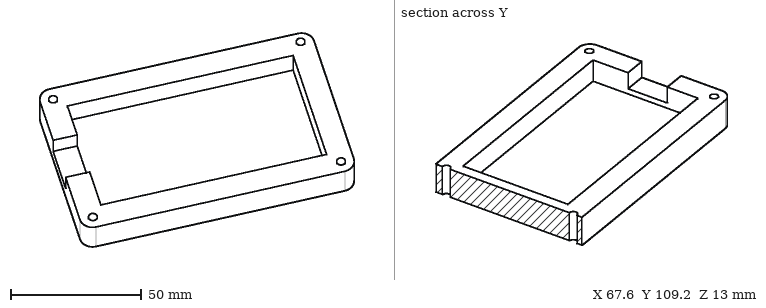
import cadquery as cq

width = 67.6
length = 109.2
height = 13.0
corner_radius = 5.0

pocket_width = 48.5
pocket_length = 90.0
pocket_floor = 3.3

notch_width = 18.1
notch_depth = 7.3
notch_center_x = -1.0

hole_diameter = 3.4
hole_x = 29.0
hole_y = 49.5
front_left_hole_x = -28.7
back_left_hole_x = -29.7

pocket_depth = height - pocket_floor
wall = (length - pocket_length) / 2
hole_centers = [
    (hole_x, hole_y),
    (hole_x, -hole_y),
    (front_left_hole_x, -hole_y),
    (back_left_hole_x, hole_y),
]


def make_block():
    """Flat block with rounded vertical edges, resting on Z = 0."""
    block = cq.Workplane("XY").box(width, length, height, centered=(True, True, False))
    return block.edges("|Z").fillet(corner_radius)


def make_pocket():
    """Rectangular recess reaching from the top face to the floor."""
    return (
        cq.Workplane("XY", origin=(0, 0, pocket_floor))
        .box(pocket_width, pocket_length, pocket_depth, centered=(True, True, False))
    )


def make_notch():
    """Opening from the pocket out through the front wall."""
    return (
        cq.Workplane("XY", origin=(notch_center_x, -length / 2, height - notch_depth))
        .box(notch_width, wall, notch_depth, centered=(True, False, False))
    )


def make_screw_holes():
    """Plain holes through the full height near the corners."""
    return cq.Workplane("XY").pushPoints(hole_centers).circle(hole_diameter / 2).extrude(height)


result = make_block().cut(make_pocket()).cut(make_notch()).cut(make_screw_holes())